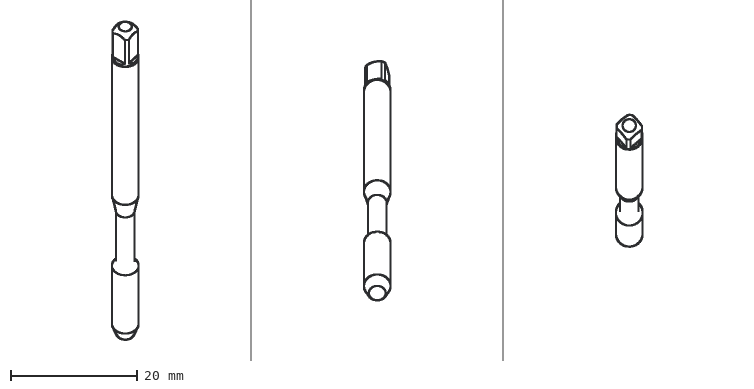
import cadquery as cq
import math

total_length = 70.1

thread_radius = 4.3 / 2
tip_radius = 1.3
tip_chamfer_radius = 1.55
tip_chamfer_height = 0.35
lead_taper_height = 2.25
lead_taper_radius = 2.1
thread_shoulder_z = 15.55
shoulder_blend_radius = 1.05
shoulder_angle = 40.0
split_z = 28.1
neck_radius = 3.0 / 2

shank_radius = 4.3 / 2
shank_taper_top_z = 31.6
shank_taper_radius = 4.2 / 2

drive_radius = 4.1 / 2
drive_base_z = 63.1
drive_across_flats = 3.3
flat_base_z = 63.7
drive_top_radius = 1.05
flat_count = 4


def blend_point(blend_start_z, sweep):
    """Point on the shoulder blend arc, as (radius, z), after the given sweep from the neck."""
    return (
        neck_radius + shoulder_blend_radius * (1 - math.cos(sweep)),
        blend_start_z - shoulder_blend_radius * math.sin(sweep),
    )


def make_threading_end():
    """Turned thread blank and neck, with a tapered lead and a blended rear shoulder."""
    blend_angle = math.radians(shoulder_angle)
    corner_z = thread_shoulder_z + (thread_radius - neck_radius) / math.tan(blend_angle)
    blend_start_z = corner_z + shoulder_blend_radius * math.tan(blend_angle / 2)
    arc_end = blend_point(blend_start_z, blend_angle)
    arc_mid = blend_point(blend_start_z, blend_angle / 2)
    return (
        cq.Workplane("XZ")
        .moveTo(0, 0)
        .lineTo(tip_radius, 0)
        .lineTo(tip_chamfer_radius, tip_chamfer_height)
        .lineTo(lead_taper_radius, lead_taper_height)
        .lineTo(thread_radius, lead_taper_height)
        .lineTo(thread_radius, thread_shoulder_z)
        .lineTo(*arc_end)
        .threePointArc(arc_mid, (neck_radius, blend_start_z))
        .lineTo(neck_radius, split_z)
        .lineTo(0, split_z)
        .close()
        .revolve(360, (0, 0, 0), (0, 1, 0))
    )


def make_shank_blank():
    """Turned taper, shank and round drive stub with a 45 degree end chamfer."""
    end_chamfer = drive_radius - drive_top_radius
    return (
        cq.Workplane("XZ")
        .moveTo(0, split_z)
        .lineTo(neck_radius, split_z)
        .lineTo(shank_taper_radius, shank_taper_top_z)
        .lineTo(shank_radius, shank_taper_top_z)
        .lineTo(shank_radius, drive_base_z)
        .lineTo(drive_radius, drive_base_z)
        .lineTo(drive_radius, total_length - end_chamfer)
        .lineTo(drive_top_radius, total_length)
        .lineTo(0, total_length)
        .close()
        .revolve(360, (0, 0, 0), (0, 1, 0))
    )


def make_flat_cutter():
    """Prism that mills one drive flat, running out at 45 degrees at its base."""
    flat_offset = drive_across_flats / 2
    cutter_depth = shank_radius - flat_offset
    return (
        cq.Workplane("XZ")
        .moveTo(flat_offset, flat_base_z)
        .lineTo(shank_radius, flat_base_z - cutter_depth)
        .lineTo(shank_radius, total_length)
        .lineTo(flat_offset, total_length)
        .close()
        .extrude(shank_radius, both=True)
    )


def make_shank():
    shank = make_shank_blank()
    cutter = make_flat_cutter()
    for index in range(flat_count):
        turn = index * 360 / flat_count
        shank = shank.cut(cutter.rotate((0, 0, 0), (0, 0, 1), turn))
    return shank


threading_end = make_threading_end()
shank = make_shank()

result = cq.Compound.makeCompound([threading_end.val(), shank.val()])